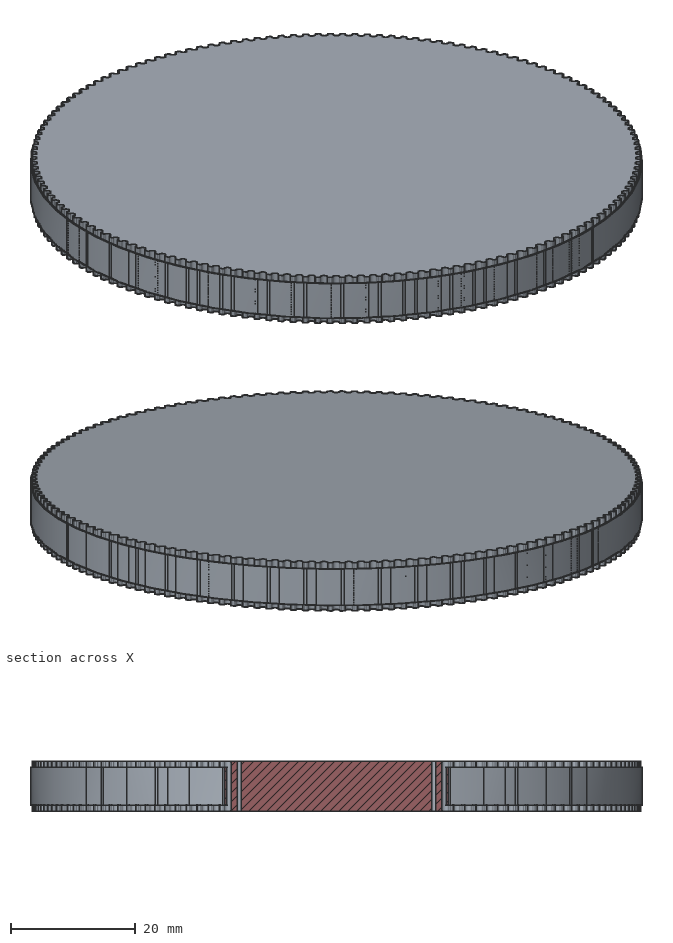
import cadquery as cq
import math

outer_diameter = 98
thickness = 8.0
band_radius = outer_diameter / 2

band_wall = 0.255
band_margin = 1.0
band_height = thickness - 2 * band_margin

crest_radius = band_radius - band_wall
groove_count = 154
groove_step = 2 * math.pi / groove_count
floor_arc_radius = 0.56
crest_rounding = 0.22

arc_centre_radial = crest_radius - crest_rounding
floor_radial = arc_centre_radial - floor_arc_radius

half_mouth = floor_arc_radius + crest_rounding
half_mouth_angle = math.asin(half_mouth / arc_centre_radial)
rounding_mid_offset = crest_rounding * math.sqrt(0.5)


def polar_point(radius, angle):
    return (radius * math.cos(angle), radius * math.sin(angle))


def groove_point(radial, sideways, angle):
    """Point given along and across the centre line of the groove at this angle."""
    cosine = math.cos(angle)
    sine = math.sin(angle)
    return (radial * cosine - sideways * sine, radial * sine + sideways * cosine)


def crest_corner(side, angle):
    """Crest, middle and flank points of the eased corner on one side (-1 or +1) of a groove."""
    on_crest = polar_point(crest_radius, angle + side * half_mouth_angle)
    middle = groove_point(
        arc_centre_radial + rounding_mid_offset,
        side * (half_mouth - rounding_mid_offset),
        angle,
    )
    on_flank = groove_point(arc_centre_radial, side * floor_arc_radius, angle)
    return on_crest, middle, on_flank


def toothed_disc():
    """Disc whose rim runs groove by groove, with a crest arc after each groove."""
    outline = cq.Workplane("XY").moveTo(*polar_point(crest_radius, -half_mouth_angle))
    for i in range(groove_count):
        angle = i * groove_step
        _, entry_middle, entry_flank = crest_corner(-1, angle)
        exit_crest, exit_middle, exit_flank = crest_corner(1, angle)
        next_crest, _, _ = crest_corner(-1, angle + groove_step)
        crest_middle = polar_point(crest_radius, angle + groove_step / 2)
        floor_middle = groove_point(floor_radial, 0, angle)
        outline = (
            outline
            .threePointArc(entry_middle, entry_flank)
            .threePointArc(floor_middle, exit_flank)
            .threePointArc(exit_middle, exit_crest)
            .threePointArc(crest_middle, next_crest)
        )
    return outline.close().extrude(thickness)


def closing_band():
    """Thin ring seated on the crests, set in equally from both faces."""
    return (
        cq.Workplane("XY")
        .workplane(offset=band_margin)
        .circle(band_radius)
        .circle(crest_radius)
        .extrude(band_height)
    )


result = toothed_disc().union(closing_band()).solids()